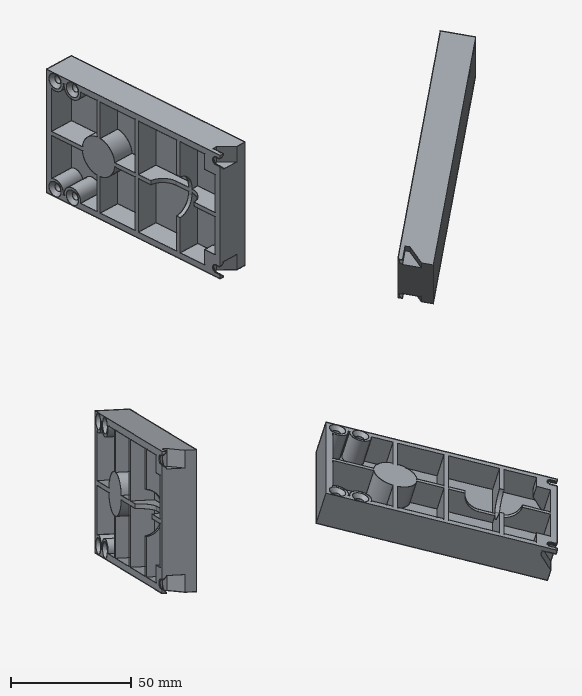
import cadquery as cq
import math

LENGTH = 100.0
DEPTH = 15.0
HEIGHT = 60.0
MID_Z = HEIGHT / 2

WALL = 3.0
RIB = 2.0
LEFT_POCKET_DEPTH = 12.0
POCKET_DEPTH = 10.5
RIB_CENTERS_X = (30.0, 52.0, 76.0)

PAD_DIAMETER = 18.7

SCREW_X = (5.0, 15.0)
SCREW_DIAMETER = 3.5
COUNTERSINK_DIAMETER = 7.0
COUNTERSINK_RIM = 0.25
SCREW_EDGE = COUNTERSINK_DIAMETER / 2 + COUNTERSINK_RIM
POST_DIAMETER = 9.5

NOTCH_LENGTH = 6.0
NOTCH_HEIGHT = 7.5
LIP = 2.0
NOTCH_STEP = 2.0

SLOT_WIDTH = 3.7
SLOT_DEPTH = 4.4
SLOT_MOUTH_RADIUS = 0.8
SLOT_EDGE_THICKNESS = 0.5

TROUGH_RADIUS = 8.0
TROUGH_DEPTH = 7.0
TROUGH_CLEARANCE = 1.0
LONG_TROUGH_START_X = 60.0
LONG_TROUGH_END_X = 85.0
UPRIGHT_TROUGH_LENGTH = 20.0


def block(x0, x1, y0, y1, z0, z1):
    """Axis-aligned box between two opposite corners."""
    return cq.Workplane("XY").box(x1 - x0, y1 - y0, z1 - z0, centered=False).translate((x0, y0, z0))


def round_bar(x, z, diameter):
    """Round bar along Y from the front face to the back face."""
    return cq.Workplane("XZ").center(x, z).circle(diameter / 2).extrude(-DEPTH)


def mirrored_in_z(shape):
    """Add the copy of a shape mirrored about the middle height."""
    return shape.union(shape.mirror("XY", (0, 0, MID_Z)))


def notch_prism(front_y, thickness):
    """Upper corner prism with a 45 degree back face, grown all round the notch by a thickness."""
    inner_x = LENGTH - NOTCH_LENGTH - thickness
    corner_y = LIP + NOTCH_STEP + thickness * math.tan(math.radians(22.5))
    height = NOTCH_HEIGHT + thickness
    return (
        cq.Workplane("XY", origin=(0, 0, HEIGHT - height))
        .moveTo(LENGTH, front_y)
        .lineTo(inner_x, front_y)
        .lineTo(inner_x, corner_y)
        .lineTo(LENGTH, corner_y + LENGTH - inner_x)
        .close()
        .extrude(height)
    )


def pockets():
    """Front cavity, less the ribs, pad, posts and notch surrounds left standing in it."""
    first_rib_x = RIB_CENTERS_X[0]
    left_part = block(WALL, first_rib_x, 0, LEFT_POCKET_DEPTH, WALL, HEIGHT - WALL)
    right_part = block(first_rib_x, LENGTH - WALL, 0, POCKET_DEPTH, WALL, HEIGHT - WALL)
    cavity = left_part.union(right_part)
    cavity = cavity.cut(block(0, LENGTH, 0, DEPTH, MID_Z - RIB / 2, MID_Z + RIB / 2))
    for x in RIB_CENTERS_X:
        cavity = cavity.cut(block(x - RIB / 2, x + RIB / 2, 0, DEPTH, 0, HEIGHT))
    cavity = cavity.cut(round_bar(first_rib_x, MID_Z, PAD_DIAMETER))
    cavity = cavity.cut(mirrored_in_z(notch_prism(0, WALL)))
    for x in SCREW_X:
        cavity = cavity.cut(mirrored_in_z(round_bar(x, HEIGHT - SCREW_EDGE, POST_DIAMETER)))
    return cavity


def screw_hole(x, z):
    """Through hole with a conical countersink at the front face."""
    sink_depth = (COUNTERSINK_DIAMETER - SCREW_DIAMETER) / 2
    sink = cq.Solid.makeCone(
        COUNTERSINK_DIAMETER / 2, SCREW_DIAMETER / 2, sink_depth, cq.Vector(x, 0, z), cq.Vector(0, 1, 0)
    )
    return round_bar(x, z, SCREW_DIAMETER).union(cq.Workplane(sink))


def lip_slot():
    """Round-ended slot through the upper lip, open to the right with a rounded mouth."""
    half = SLOT_WIDTH / 2
    r = SLOT_MOUTH_RADIUS
    end_x = LENGTH - SLOT_DEPTH
    return (
        cq.Workplane("XZ", origin=(0, 0, HEIGHT - SCREW_EDGE))
        .moveTo(LENGTH, half + r)
        .radiusArc((LENGTH - r, half), r)
        .lineTo(end_x + half, half)
        .threePointArc((end_x, 0), (end_x + half, -half))
        .lineTo(LENGTH - r, -half)
        .radiusArc((LENGTH, -half - r), r)
        .close()
        .extrude(-LIP)
    )


def slot_countersink():
    """45 degree relief behind the upper slot that leaves only a thin edge at the front face."""
    half = SLOT_WIDTH / 2
    depth = LIP - SLOT_EDGE_THICKNESS
    center_x = LENGTH - SLOT_DEPTH + half
    center_z = HEIGHT - SCREW_EDGE
    end = cq.Solid.makeCone(
        half, half + depth, depth, cq.Vector(center_x, SLOT_EDGE_THICKNESS, center_z), cq.Vector(0, 1, 0)
    )
    straight = (
        cq.Workplane("YZ", origin=(center_x, 0, center_z))
        .moveTo(SLOT_EDGE_THICKNESS, half)
        .lineTo(LIP, half + depth)
        .lineTo(LIP, -half - depth)
        .lineTo(SLOT_EDGE_THICKNESS, -half)
        .close()
        .extrude(LENGTH - center_x)
    )
    return straight.union(cq.Workplane(end))


def rib_troughs():
    """Round-cornered troughs in the long rib and in the third upright rib."""
    x0, x1 = LONG_TROUGH_START_X, LONG_TROUGH_END_X
    z0 = MID_Z - UPRIGHT_TROUGH_LENGTH / 2
    z1 = MID_Z + UPRIGHT_TROUGH_LENGTH / 2
    x_rib = RIB_CENTERS_X[-1]
    front_y = TROUGH_DEPTH - TROUGH_RADIUS - TROUGH_CLEARANCE
    long_cut = block(x0, x1, front_y, TROUGH_DEPTH, MID_Z - RIB / 2, MID_Z + RIB / 2)
    long_cut = long_cut.edges("|Z and >Y").fillet(TROUGH_RADIUS)
    upright_cut = block(x_rib - RIB / 2, x_rib + RIB / 2, front_y, TROUGH_DEPTH, z0, z1)
    upright_cut = upright_cut.edges("|X and >Y").fillet(TROUGH_RADIUS)
    return long_cut.union(upright_cut)


body = block(0, LENGTH, 0, DEPTH, 0, HEIGHT).cut(pockets()).cut(rib_troughs())
body = body.cut(mirrored_in_z(notch_prism(LIP, 0)))
body = body.cut(mirrored_in_z(lip_slot().union(slot_countersink())))
for screw_x in SCREW_X:
    body = body.cut(mirrored_in_z(screw_hole(screw_x, HEIGHT - SCREW_EDGE)))
result = body